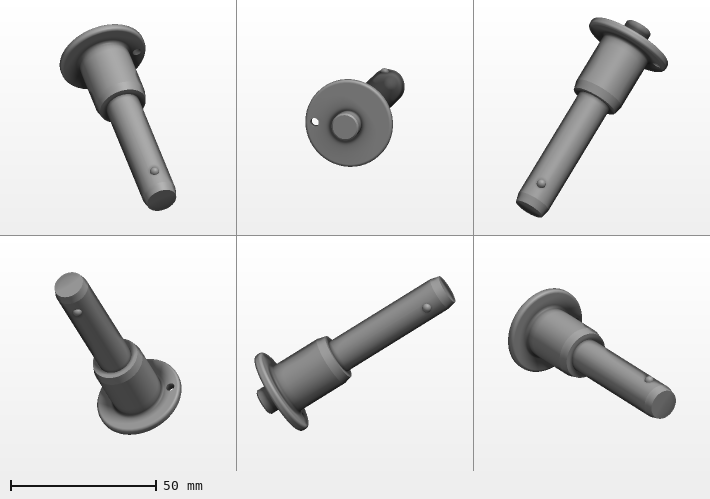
import cadquery as cq


pin_length = 76.0
button_length = 6.0
flange_thickness = 3.0
sleeve_length = 22.05
end_taper_length = 3.05
flange_end = button_length + flange_thickness
sleeve_end = flange_end + sleeve_length

button_radius = 9.5 / 2
flange_radius = 30.6 / 2
sleeve_radius = 18.0 / 2
shank_radius = 12.0 / 2
end_taper_drop = 0.75
sleeve_end_radius = sleeve_radius - end_taper_drop
shank_tip_radius = shank_radius - end_taper_drop

button_chamfer = 0.5
flange_rounding = 1.0
sleeve_root_fillet = 1.0

lanyard_hole_diameter = 3.05
lanyard_hole_offset = 11.9

ball_radius = 1.6
ball_x = 67.6
ball_reach = 7.4
ball_offset = ball_reach - ball_radius


def cylinder_along_x(start, length, radius):
    return cq.Workplane("YZ", origin=(start, 0, 0)).circle(radius).extrude(length)


def tapered_cylinder(start, end, radius, end_radius):
    """Cylinder along X whose far end narrows to end_radius."""
    return (
        cq.Workplane("XY")
        .moveTo(start, 0)
        .lineTo(start, radius)
        .lineTo(end - end_taper_length, radius)
        .lineTo(end, end_radius)
        .lineTo(end, 0)
        .close()
        .revolve(360, (0, 0, 0), (1, 0, 0))
    )


def make_button():
    button = cylinder_along_x(0, button_length, button_radius)
    return button.faces("<X").edges().chamfer(button_chamfer)


def make_flange_and_sleeve():
    flange = cylinder_along_x(button_length, flange_thickness, flange_radius)
    flange = flange.faces("<X or >X").edges().fillet(flange_rounding)
    sleeve = tapered_cylinder(flange_end, sleeve_end, sleeve_radius, sleeve_end_radius)
    root_edge = cq.selectors.RadiusNthSelector(0)
    flange_back = cq.selectors.NearestToPointSelector((flange_end, 0, lanyard_hole_offset))
    return flange.union(sleeve).faces(flange_back).edges(root_edge).fillet(sleeve_root_fillet)


def make_lanyard_hole():
    hole = cylinder_along_x(button_length, flange_thickness, lanyard_hole_diameter / 2)
    return hole.translate((0, lanyard_hole_offset, 0))


def make_ball(side):
    """Locking ball above (side = 1) or below (side = -1) the pin axis."""
    return cq.Workplane("XY").sphere(ball_radius).translate((ball_x, 0, side * ball_offset))


def make_pin(balls):
    """Button, handle and shank in one piece, with a seat for each ball."""
    shank = tapered_cylinder(sleeve_end, pin_length, shank_radius, shank_tip_radius)
    pin = make_button().union(make_flange_and_sleeve()).union(shank).cut(make_lanyard_hole())
    for ball in balls:
        pin = pin.cut(ball)
    return pin


locking_balls = [make_ball(side) for side in (1, -1)]
pin = make_pin(locking_balls)

result = cq.Compound.makeCompound([pin.val(), *[ball.val() for ball in locking_balls]])